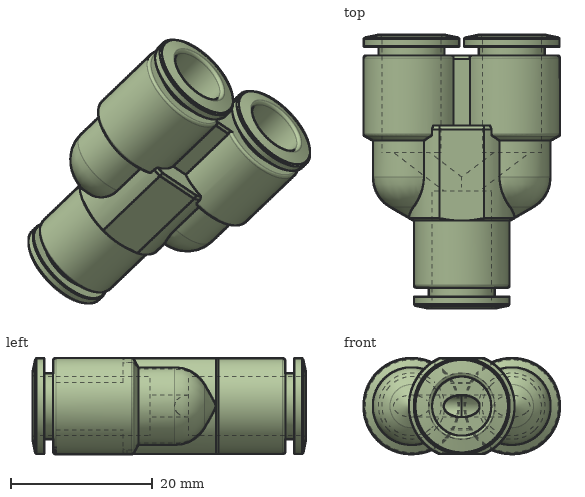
import cadquery as cq
import math

length = 38.6
body_radius = 6.8
stem_radius = 6.75
branch_offset = 7.05
edge_round = 0.4

collar_radius = 6.75
collar_neck_radius = 4.67
collar_slope_radius = 6.52
collar_slope_depth = 0.4
collar_corner_depth = 0.6
collar_back_depth = 1.75
collar_back_chamfer = 0.1
body_face_depth = 2.95

shoulder_start_y = 24.4
shoulder_end_y = 23.65
branch_radius = 5.5
dome_start_y = 18.53
dome_arc_radius = 4.85
dome_arc_angle = 60.0

hub_radius = 7.45
hub_start_y = 12.4
hub_end_y = 25.8
hub_chamfer_length = 0.35
hub_end_bevel_length = 0.55
hub_end_bevel_inset = 0.2

web_half_width = 1.15
web_end_bevel_length = 0.5
web_end_bevel_inset = 0.2

bore_radius = 4.15
bore_depth = 16.6
bore_mouth_round = 0.45
passage_radius = 1.55


def revolve_about_y(profile):
    """Revolve a profile of (radius, y) around the Y axis."""
    return profile.close().revolve(360, (0, 0, 0), (0, 1, 0))


def make_collar():
    """Release collar with its port face at y = 0, reaching into the body."""
    return revolve_about_y(
        cq.Workplane("XY")
        .lineTo(collar_neck_radius, 0)
        .lineTo(collar_slope_radius, collar_slope_depth)
        .lineTo(collar_radius, collar_corner_depth)
        .lineTo(collar_radius, collar_back_depth - collar_back_chamfer)
        .lineTo(collar_radius - collar_back_chamfer, collar_back_depth)
        .lineTo(collar_neck_radius, collar_back_depth)
        .lineTo(collar_neck_radius, body_face_depth)
        .lineTo(0, body_face_depth)
    )


def make_bore():
    """Tube bore with a rounded mouth at y = 0."""
    return revolve_about_y(
        cq.Workplane("XY")
        .lineTo(bore_radius + bore_mouth_round, 0)
        .radiusArc((bore_radius, bore_mouth_round), bore_mouth_round)
        .lineTo(bore_radius, bore_depth)
        .lineTo(0, bore_depth)
    )


def make_stem():
    """Stem body running from its collar into the hub."""
    stem = cq.Workplane("XZ", origin=(0, body_face_depth, 0)).circle(stem_radius)
    stem = stem.extrude(body_face_depth - shoulder_start_y)
    return stem.faces("<Y").edges().fillet(edge_round)


def make_branch():
    """Branch body on the Y axis: wide socket, sloped shoulder, and domed conical end."""
    socket = revolve_about_y(
        cq.Workplane("XY")
        .moveTo(0, length - body_face_depth)
        .lineTo(body_radius, length - body_face_depth)
        .lineTo(body_radius, shoulder_start_y)
        .lineTo(branch_radius, shoulder_end_y)
        .lineTo(0, shoulder_end_y)
    )
    outer_edges = socket.edges(cq.selectors.RadiusNthSelector(-1))
    socket = outer_edges.fillet(edge_round)

    arc_centre_radius = branch_radius - dome_arc_radius

    def dome_point(angle_degrees):
        angle = math.radians(angle_degrees)
        radius = arc_centre_radius + dome_arc_radius * math.cos(angle)
        return radius, dome_start_y - dome_arc_radius * math.sin(angle)

    cone_radius, cone_start_y = dome_point(dome_arc_angle)
    apex_y = cone_start_y - cone_radius / math.tan(math.radians(dome_arc_angle))
    domed_end = revolve_about_y(
        cq.Workplane("XY")
        .moveTo(0, shoulder_end_y)
        .lineTo(branch_radius, shoulder_end_y)
        .lineTo(branch_radius, dome_start_y)
        .threePointArc(dome_point(dome_arc_angle / 2), (cone_radius, cone_start_y))
        .lineTo(0, apex_y)
    )
    return socket.union(domed_end)


def make_hub():
    """Round hub with a conical start, flats level with the stem, and a bevelled end."""
    hub = revolve_about_y(
        cq.Workplane("XY")
        .moveTo(0, hub_start_y)
        .lineTo(stem_radius, hub_start_y)
        .lineTo(hub_radius, hub_start_y + hub_chamfer_length)
        .lineTo(hub_radius, hub_end_y)
        .lineTo(0, hub_end_y)
    )
    flats = cq.Workplane("XY").box(2 * hub_radius, 2 * length, 2 * stem_radius)
    hub = hub.intersect(flats)
    return hub.faces(">Y").edges().chamfer(hub_end_bevel_length, hub_end_bevel_inset)


def make_web():
    """Flat web filling the gap between the two branch sockets."""
    half_height = math.sqrt(body_radius**2 - (branch_offset - web_half_width) ** 2)
    web_start_y = shoulder_start_y
    web_length = length - body_face_depth - web_start_y
    web = cq.Workplane("XY").box(
        2 * branch_offset, web_length, 2 * half_height, centered=(True, False, True)
    )
    web = web.translate((0, web_start_y, 0))
    return web.faces(">Y").edges("|X").chamfer(web_end_bevel_inset, web_end_bevel_length)


def make_passage(side):
    """Oblique passage from the stem bore floor to a branch bore floor."""
    start = cq.Vector(0, bore_depth, 0)
    end = cq.Vector(side * branch_offset, length - bore_depth, 0)
    direction = (end - start).normalized()
    overrun = 2 * passage_radius
    tube = cq.Solid.makeCylinder(
        passage_radius,
        (end - start).Length + 2 * overrun,
        start - direction * overrun,
        direction,
    )
    between_floors = cq.Workplane("XY").box(
        length, length - 2 * bore_depth, length, centered=(True, False, True)
    )
    return between_floors.translate((0, bore_depth, 0)).intersect(cq.Workplane(tube))


def at_branch(port_feature, side):
    """Turn a feature made at the stem port around to face +Y on one branch axis."""
    turned = port_feature.rotate((0, 0, 0), (0, 0, 1), 180)
    return turned.translate((side * branch_offset, length, 0))


sides = (-1, 1)

result = make_stem().union(make_hub()).union(make_collar()).union(make_web())
for side in sides:
    result = result.union(make_branch().translate((side * branch_offset, 0, 0)))
    result = result.union(at_branch(make_collar(), side))

result = result.cut(make_bore())
for side in sides:
    result = result.cut(at_branch(make_bore(), side))
    result = result.cut(make_passage(side))